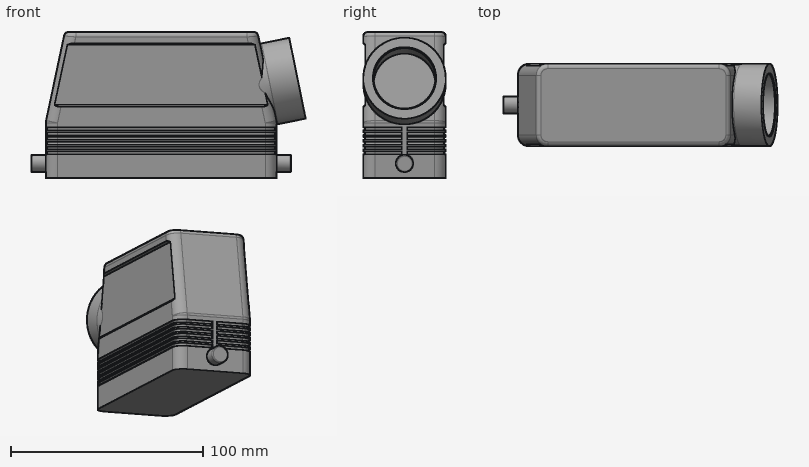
import cadquery as cq
import math

overall_length = 142.74

body_length = 120.0
body_width = 43.0
body_height = 76.0
bend_height = 29.4
end_wall_tilt = 12.0
bend_radius = 6.0
corner_radius = 6.0
top_edge_radius = 2.5

recess_depth = 1.0
recess_bottom = 37.0
recess_top = 70.2

groove_count = 6
groove_pitch = 2.5
groove_width = 1.5
groove_depth = 0.9
lowest_groove_height = 13.1
groove_gap = 2.6

pin_diameter = 9.0
pin_span = 135.1
pin_height = 7.6
pin_edge_radius = 0.6

port_tilt = 11.5
port_diameter = 43.0
port_length = 14.8
port_reach = overall_length - pin_span / 2
port_center_height = 51.95
port_root_length = 8.0
port_root_taper = 10.0
bore_diameter = 32.0
bore_chamfer = 0.5
bore_depth = port_length

half_length = body_length / 2
half_width = body_width / 2


def make_body():
    """Skirt with upright walls below, and end walls that lean inwards above the bend."""
    lean = (body_height - bend_height) * math.tan(math.radians(end_wall_tilt))
    profile = [
        (-half_length, 0),
        (half_length, 0),
        (half_length, bend_height),
        (half_length - lean, body_height),
        (lean - half_length, body_height),
        (-half_length, bend_height),
    ]
    body = cq.Workplane("XZ").polyline(profile).close().extrude(half_width, both=True)
    bend_box = cq.selectors.BoxSelector(
        (-body_length, -body_width, bend_height - bend_radius),
        (body_length, body_width, bend_height + bend_radius),
    )
    body = body.edges("|Y").edges(bend_box).fillet(bend_radius)
    body = body.faces("<Y or >Y").edges("not(<Z or >Z)").fillet(corner_radius)
    return body.faces(">Z").edges().fillet(top_edge_radius)


def make_recess(side):
    """Cutter for one long side: a full-length trapezoid channel with 45 degree flanks."""
    profile = [
        (side * half_width, recess_bottom),
        (side * (half_width - recess_depth), recess_bottom + recess_depth),
        (side * (half_width - recess_depth), recess_top - recess_depth),
        (side * half_width, recess_top),
    ]
    return cq.Workplane("YZ").polyline(profile).close().extrude(half_length, both=True)


def make_groove(height):
    """Round-bottomed groove cutter following the skirt, broken at the middle of each end wall."""
    straight_x = half_length - corner_radius
    straight_y = half_width - corner_radius
    diagonal = corner_radius * math.sqrt(0.5)
    path = cq.Workplane("XY", origin=(0, 0, height)).moveTo(half_length, groove_gap / 2)
    path = (
        path.lineTo(half_length, straight_y)
        .threePointArc((straight_x + diagonal, straight_y + diagonal), (straight_x, half_width))
        .lineTo(-straight_x, half_width)
        .threePointArc((-straight_x - diagonal, straight_y + diagonal), (-half_length, straight_y))
        .lineTo(-half_length, groove_gap / 2)
    )
    groove_radius = groove_width / 2
    section = (
        cq.Workplane("XZ", origin=(half_length, groove_gap / 2, height))
        .moveTo(groove_radius, groove_radius)
        .lineTo(groove_radius - groove_depth, groove_radius)
        .threePointArc((-groove_depth, 0), (groove_radius - groove_depth, -groove_radius))
        .lineTo(groove_radius, -groove_radius)
        .close()
    )
    half_ring = section.sweep(path)
    return half_ring.union(half_ring.mirror("XZ"))


def make_pin(side):
    """Round locking pin standing out from one end wall."""
    pin = (
        cq.Workplane("YZ", origin=(0, 0, pin_height))
        .circle(pin_diameter / 2)
        .extrude(side * pin_span / 2)
    )
    tip = ">X" if side > 0 else "<X"
    return pin.faces(tip).edges().fillet(pin_edge_radius)


def make_port_plane():
    """Plane on the outer face of the cable entry, with its normal along the entry axis."""
    tilt = math.radians(port_tilt)
    center_x = port_reach - port_diameter / 2 * math.sin(tilt)
    return cq.Plane(
        origin=(center_x, 0, port_center_height),
        xDir=(0, 1, 0),
        normal=(math.cos(tilt), 0, math.sin(tilt)),
    )


def make_port():
    """Tilted cylinder whose root narrows as it enters the end wall."""
    plane = make_port_plane()
    collar = cq.Workplane(plane).circle(port_diameter / 2).extrude(-port_length)
    root = (
        cq.Workplane(plane)
        .workplane(offset=-port_length)
        .circle(port_diameter / 2)
        .extrude(-port_root_length, taper=port_root_taper)
    )
    return collar.union(root)


def make_bore():
    """Blind bore of the cable entry with a chamfered mouth."""
    plane = make_port_plane()
    bore = cq.Workplane(plane).circle(bore_diameter / 2).extrude(-bore_depth)
    mouth = (
        cq.Workplane(plane)
        .circle(bore_diameter / 2 + bore_chamfer)
        .workplane(offset=-bore_chamfer)
        .circle(bore_diameter / 2)
        .loft()
    )
    return bore.union(mouth)


result = make_body()
for side in (-1, 1):
    result = result.cut(make_recess(side))
for index in range(groove_count):
    result = result.cut(make_groove(lowest_groove_height + index * groove_pitch))
for side in (-1, 1):
    result = result.union(make_pin(side))
result = result.union(make_port()).cut(make_bore())